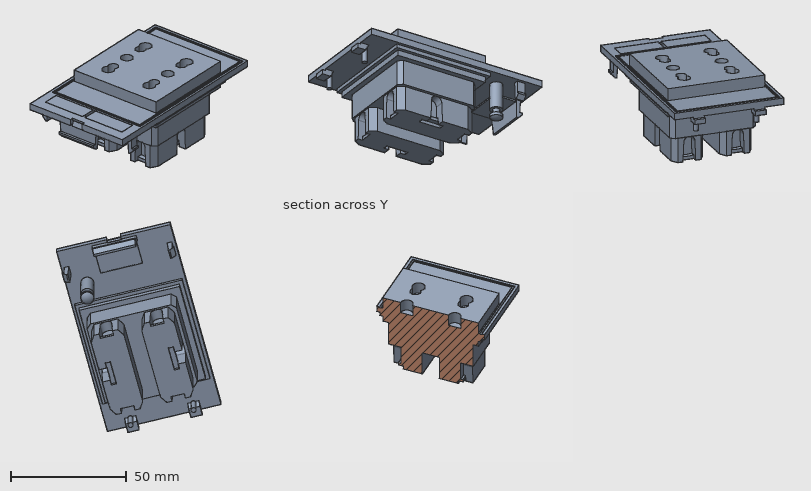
import cadquery as cq


plate_width = 50.7
plate_front = -49.75
plate_back = 37.7
plate_thick = 3.0
frame_outer_width = 48.0
frame_groove_width = 0.9
frame_groove_depth = 0.4
frame_front = -35.7
frame_back = 36.3

label_width = 42.0
label_front = -44.5
label_back = -37.1
label_depth = 0.1
label_gap = 1.4
gap_slot_front = -43.3
gap_slot_depth = 2.2

notch_width = 6.2
notch_reach = 1.4
notch_lip = 0.9
notch_undercut = 0.6
notch_depth = 3.8

block_height = 5.5
socket_spacing = 22.5
block_side = 2 * socket_spacing
earth_hole_dia = 5.5
large_pin_dia = 5.6
large_pin_pitch = 26.0
small_pin_dia = 4.6
small_pin_pitch = 19.05

flange_side = 48.0
flange_thick = 1.8
collar_side = 44.9
collar_thick = 2.7
body_side = 39.9
body_height = 11.75
body_chamfer = 2.0
terminal_width = 14.6
terminal_length = 38.5
terminal_height = 11.6
terminal_chamfer_x = 2.0
terminal_chamfer_y = 3.2

entry_bottom_width = 6.0
entry_top_radius = 2.6
front_entry_depth = 2.1
front_pocket_depth = 4.4
front_sill_height = 1.5
side_entry_depth = 3.4
side_pocket_depth = 4.4
side_sill_height = 2.9
sill_sag = 0.3
relief_height = 1.5
relief_length = 2.2
relief_width = 10.7

clip_thick = 2.1
clip_tip_thick = 1.6
clip_length = 8.3
clip_hook_top = 5.5
clip_hook_height = 0.9
clip_tip_inset = 1.9
front_clip_root_width = 19.8
front_clip_tip_width = 18.7
front_clip_reach = 1.25
front_clip_face = plate_front + front_clip_reach
side_clip_face = 24.0
side_clip_reach = 0.9
side_clip_width = 3.9
side_clip_y = -39.8
pad_thick = 0.8
pad_back = -35.5

post_x = -16.2
post_y = -32.0
post_dia = 5.7
post_length = 12.3
neck_dia = 3.2
neck_length = 2.5
head_thick = 1.4
head_dome = 0.9

lug_spacing = 28.1
lug_width = 5.1
lug_tip = 39.25
lug_tip_top = 3.7
lug_bottom = 5.9
lug_front_top = 33.55
lug_front_bottom = 35.1
lug_pin_dia = 2.2
lug_pin_y = 34.1
lug_pin_end = 10.6

plate_bottom = -plate_thick
flange_bottom = plate_bottom - flange_thick
collar_bottom = flange_bottom - collar_thick
body_bottom = collar_bottom - body_height
terminal_bottom = body_bottom - terminal_height

terminal_centers = (-socket_spacing / 2, socket_spacing / 2)


def box(x_min, x_max, y_min, y_max, z_min, z_max):
    size = (x_max - x_min, y_max - y_min, z_max - z_min)
    return cq.Workplane().box(*size, centered=False).translate((x_min, y_min, z_min))


def square_step(side, z_bottom, z_top):
    return box(-side / 2, side / 2, -side / 2, side / 2, z_bottom, z_top)


def chamfered_box(x_center, width, length, chamfer_x, chamfer_y, z_bottom, height):
    """Upright block with its four vertical corners cut off."""
    x_in, x_out = width / 2 - chamfer_x, width / 2
    y_in, y_out = length / 2 - chamfer_y, length / 2
    outline = [
        (x_in, -y_out), (x_out, -y_in), (x_out, y_in), (x_in, y_out),
        (-x_in, y_out), (-x_out, y_in), (-x_out, -y_in), (-x_in, -y_out),
    ]
    profile = cq.Workplane().polyline(outline).close()
    return profile.extrude(height).translate((x_center, 0, z_bottom))


def cover_plate():
    half = plate_width / 2
    plate = box(-half, half, plate_front, plate_back, plate_bottom, 0)

    frame_half = frame_outer_width / 2
    panel_half = frame_half - frame_groove_width
    frame = box(-frame_half, frame_half, frame_front, frame_back, -frame_groove_depth, 0)
    panel = box(
        -panel_half, panel_half, frame_front + frame_groove_width, frame_back - frame_groove_width,
        -frame_groove_depth, 0,
    )
    plate = plate.cut(frame.cut(panel))

    gap_half = label_gap / 2
    for x_min, x_max in ((-label_width / 2, -gap_half), (gap_half, label_width / 2)):
        plate = plate.cut(box(x_min, x_max, label_front, label_back, -label_depth, 0))
    return plate.cut(box(-gap_half, gap_half, gap_slot_front, label_back, -gap_slot_depth, 0))


def release_notch():
    """Cutter: straight lip at the top, undercut below it, then a ramp out to the clip face."""
    ramp_top = -notch_lip - notch_undercut
    outline = [
        (plate_front, 0),
        (plate_front + notch_reach, 0),
        (plate_front + notch_reach, -notch_lip),
        (plate_front + notch_reach + notch_undercut, ramp_top),
        (front_clip_face, -notch_depth),
        (plate_front, -notch_depth),
    ]
    return cq.Workplane("YZ").polyline(outline).close().extrude(notch_width / 2, both=True)


def socket_block():
    block = square_step(block_side, 0, block_height)
    holes = [(earth_hole_dia, 0)]
    for side in (-1, 1):
        holes.append((large_pin_dia, side * large_pin_pitch / 2))
        holes.append((small_pin_dia, side * small_pin_pitch / 2))
    for diameter, y in holes:
        points = [(x, y) for x in terminal_centers]
        block = block.cut(cq.Workplane().pushPoints(points).circle(diameter / 2).extrude(block_height))
    return block


def wire_entry(entry_depth, pocket_depth, sill_height):
    """Cutter entering along +Y from y = 0, with its foot at z = 0.

    A sill with a dished top is left standing between the entry depth and the pocket depth.
    """
    foot = entry_bottom_width / 2
    spring = terminal_height - entry_top_radius

    def tapered(depth):
        profile = (
            cq.Workplane("XZ").moveTo(-foot, 0).lineTo(foot, 0).lineTo(entry_top_radius, spring)
            .threePointArc((0, terminal_height), (-entry_top_radius, spring)).close()
        )
        return profile.extrude(-depth)

    sill = (
        cq.Workplane("XZ").moveTo(-foot, 0).lineTo(foot, 0)
        .lineTo(foot, sill_height + sill_sag)
        .threePointArc((0, sill_height), (-foot, sill_height + sill_sag)).close()
        .extrude(-(pocket_depth - entry_depth)).translate((0, entry_depth, 0))
    )
    return tapered(pocket_depth).cut(sill)


def terminal_boxes():
    front_entry = wire_entry(front_entry_depth, front_pocket_depth, front_sill_height)
    side_entry = wire_entry(side_entry_depth, side_pocket_depth, side_sill_height)
    relief = box(
        -relief_width / 2, relief_width / 2, side_entry_depth, side_entry_depth + relief_length,
        0, relief_height,
    )
    side_entry = side_entry.union(relief)
    side_entry = side_entry.rotate((0, 0, 0), (0, 0, 1), -90)
    outer_face = -socket_spacing / 2 - terminal_width / 2

    boxes = cq.Workplane()
    for x in terminal_centers:
        terminal = chamfered_box(
            x, terminal_width, terminal_length, terminal_chamfer_x, terminal_chamfer_y,
            terminal_bottom, terminal_height,
        )
        front_cut = front_entry.translate((x, -terminal_length / 2, terminal_bottom))
        boxes = boxes.add(terminal.cut(front_cut).cut(front_cut.mirror("XZ")))
    side_cut = side_entry.translate((outer_face, 0, terminal_bottom))
    return boxes.combine().cut(side_cut).cut(side_cut.mirror("YZ"))


def stepped_body():
    body = chamfered_box(0, body_side, body_side, body_chamfer, body_chamfer, body_bottom, body_height)
    body = body.union(square_step(flange_side, flange_bottom, plate_bottom))
    return body.union(square_step(collar_side, collar_bottom, flange_bottom))


def clip_outline(reach):
    """Hooked profile: outer face at 0, hook towards negative, root at height 0."""
    hook_bottom = -clip_hook_top - clip_hook_height
    return [
        (0, 0),
        (0, -clip_hook_top),
        (-reach, -clip_hook_top),
        (-reach, hook_bottom),
        (clip_tip_inset - reach, -clip_length),
        (clip_tip_thick, -clip_length),
        (clip_thick, 0),
    ]


def front_clip():
    clip = cq.Workplane("YZ").polyline(clip_outline(front_clip_reach)).close()
    clip = clip.extrude(front_clip_root_width / 2, both=True)
    clip = clip.translate((0, front_clip_face, plate_bottom))

    root, tip = front_clip_root_width / 2, front_clip_tip_width / 2
    tip_level = plate_bottom - clip_length
    taper = (
        cq.Workplane("XZ")
        .polyline([(-root, plate_bottom), (root, plate_bottom), (tip, tip_level), (-tip, tip_level)])
        .close().extrude(-plate_front, both=True)
    )
    pad = box(-tip, tip, front_clip_face, pad_back, plate_bottom - pad_thick, plate_bottom)
    return clip.intersect(taper).union(pad)


def side_clips():
    clip = cq.Workplane("XZ").polyline(clip_outline(side_clip_reach)).close()
    clip = clip.extrude(side_clip_width / 2, both=True)
    clip = clip.translate((-side_clip_face, side_clip_y, plate_bottom))
    return clip.union(clip.mirror("YZ"))


def screw_post():
    """Post, neck and domed screw head as one turned shape."""
    radius = post_dia / 2
    neck_radius = neck_dia / 2
    head_top = -post_length - neck_length
    head_bottom = head_top - head_thick
    sphere_radius = (radius**2 + head_dome**2) / (2 * head_dome)
    half_radius = radius / 2
    half_drop = (sphere_radius**2 - half_radius**2) ** 0.5 - (sphere_radius - head_dome)
    post = (
        cq.Workplane("XZ").moveTo(0, 0).lineTo(radius, 0)
        .lineTo(radius, -post_length).lineTo(neck_radius, -post_length)
        .lineTo(neck_radius, head_top).lineTo(radius, head_top).lineTo(radius, head_bottom)
        .threePointArc((half_radius, head_bottom - half_drop), (0, head_bottom - head_dome))
        .close().revolve(360, (0, 0, 0), (0, 1, 0))
    )
    return post.translate((post_x, post_y, plate_bottom))


def hinge_lugs():
    outline = [
        (plate_back, plate_bottom),
        (plate_back, -lug_tip_top),
        (lug_tip, -lug_tip_top),
        (lug_tip, -lug_bottom),
        (lug_front_bottom, -lug_bottom),
        (lug_front_top, plate_bottom),
    ]
    lug = cq.Workplane("YZ").polyline(outline).close().extrude(lug_width / 2, both=True)
    pin = cq.Workplane().circle(lug_pin_dia / 2).extrude(plate_thick - lug_pin_end)
    lug = lug.union(pin.translate((0, lug_pin_y, plate_bottom)))
    lug = lug.translate((lug_spacing / 2, 0, 0))
    return lug.union(lug.mirror("YZ"))


result = (
    cover_plate()
    .union(front_clip())
    .cut(release_notch())
    .union(socket_block())
    .union(stepped_body())
    .union(terminal_boxes())
    .union(side_clips())
    .union(screw_post())
    .union(hinge_lugs())
)